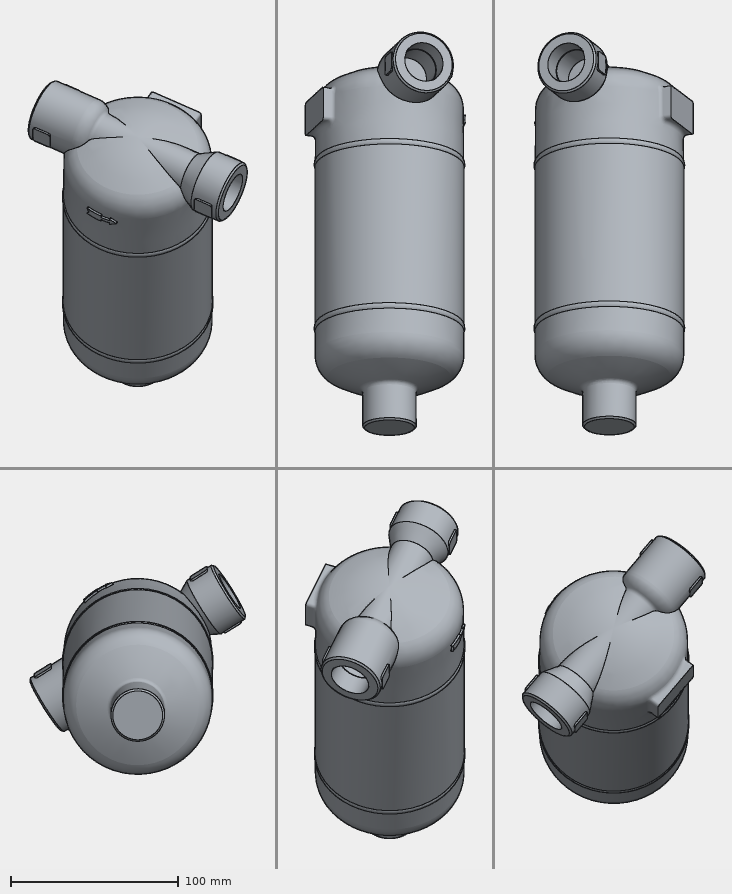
import cadquery as cq
import math

TUBE_RADIUS = 44.7
LOWER_CAP_RADIUS = 89.0 / 2
UPPER_CAP_RADIUS = 44.2
UPPER_CAP_FOOT_RADIUS = 44.5
DOME_RADIUS = 73.7
SHOULDER_RADIUS = 15.5
TOP_APEX = 223.5
BOTTOM_APEX = 22.2
UPPER_WELD_TOP = 167.5
LOWER_WELD_TOP = 64.1
WELD_HEIGHT = 3.5
WELD_BULGE = 0.5

NECK_RADIUS = 16.0
NECK_FILLET = 2.5
END_CHAMFER = 1.1

PORT_AXIS_Z = 210.0
PORT_RADIUS = 38.0 / 2
PORT_END = 130.0 / 2
CORE_RADIUS = TOP_APEX - PORT_AXIS_Z
INLET_SHOULDER_X = -34.8
INLET_STEP_X = -27.3
INLET_STEP_RADIUS = 14.9
INLET_CORE_X = -24.5
OUTLET_CONE_START = 36.6
OUTLET_CONE_END = 47.0

MOUTH_DIAMETER = 24.0
MOUTH_DEPTH = 12.5
HOLE_DIAMETER = 23.4
HOLE_DEPTH = 30.2

PAD_SIZE = 12.0
PAD_CORNER = 1.8
PAD_X = 55.2
PAD_OUTER_Y = 19.2

PLATE_WIDTH = 34.4
PLATE_BOTTOM = 183.7
PLATE_TOP = 204.5
PLATE_BACK_Y = 47.5
PLATE_CORNER = 2.0
PLATE_INNER_Y = 32.0
PLATE_FILLET = 2.7

ARROW_OUTER_RADIUS = 45.5
ARROW_Z = 195.5
ARROW_HALF_LENGTH = 10.0
ARROW_HALF_HEIGHT = 2.5
ARROW_TAIL_NOTCH = 1.4
ARROW_TAIL_END = 0.0
ARROW_HEAD_START = 5.7
ARROW_SHAFT_HALF_HEIGHT = 1.1


def cap_profile_points(cap_radius):
    """Radius and depth below the apex: crown end, shoulder middle, shoulder end."""
    center_r = cap_radius - SHOULDER_RADIUS
    tilt = math.asin(center_r / (DOME_RADIUS - SHOULDER_RADIUS))
    center_depth = DOME_RADIUS - (DOME_RADIUS - SHOULDER_RADIUS) * math.cos(tilt)
    middle = (math.pi / 2 + tilt) / 2
    crown_end = (DOME_RADIUS * math.sin(tilt), DOME_RADIUS * (1 - math.cos(tilt)))
    shoulder_middle = (
        center_r + SHOULDER_RADIUS * math.sin(middle),
        center_depth - SHOULDER_RADIUS * math.cos(middle),
    )
    return crown_end, shoulder_middle, (cap_radius, center_depth)


def crown_depth(radius):
    """Depth of the spherical crown below its apex at the given radius."""
    return DOME_RADIUS - math.sqrt(DOME_RADIUS**2 - radius**2)


def make_vessel():
    upper_cap = [(r, TOP_APEX - depth) for r, depth in cap_profile_points(UPPER_CAP_RADIUS)]
    lower_cap = [(r, BOTTOM_APEX + depth) for r, depth in cap_profile_points(LOWER_CAP_RADIUS)]
    upper_crown_end, upper_shoulder_middle, upper_shoulder_end = upper_cap
    lower_crown_end, lower_shoulder_middle, lower_shoulder_end = lower_cap
    upper_crown_r = upper_crown_end[0] / 2
    upper_crown_middle = (upper_crown_r, TOP_APEX - crown_depth(upper_crown_r))
    lower_crown_r = (NECK_RADIUS + lower_crown_end[0]) / 2
    lower_crown_middle = (lower_crown_r, BOTTOM_APEX + crown_depth(lower_crown_r))
    neck_top = BOTTOM_APEX + crown_depth(NECK_RADIUS)

    bulge_radius = TUBE_RADIUS + WELD_BULGE
    upper_weld_bottom = UPPER_WELD_TOP - WELD_HEIGHT
    lower_weld_bottom = LOWER_WELD_TOP - WELD_HEIGHT
    profile = (
        cq.Workplane("XZ")
        .lineTo(NECK_RADIUS - END_CHAMFER, 0)
        .lineTo(NECK_RADIUS, END_CHAMFER)
        .lineTo(NECK_RADIUS, neck_top)
        .threePointArc(lower_crown_middle, lower_crown_end)
        .threePointArc(lower_shoulder_middle, lower_shoulder_end)
        .lineTo(LOWER_CAP_RADIUS, lower_weld_bottom)
        .threePointArc(
            (bulge_radius, LOWER_WELD_TOP - WELD_HEIGHT / 2), (TUBE_RADIUS, LOWER_WELD_TOP)
        )
        .lineTo(TUBE_RADIUS, upper_weld_bottom)
        .threePointArc(
            (bulge_radius, UPPER_WELD_TOP - WELD_HEIGHT / 2),
            (UPPER_CAP_FOOT_RADIUS, UPPER_WELD_TOP),
        )
        .lineTo(*upper_shoulder_end)
        .threePointArc(upper_shoulder_middle, upper_crown_end)
        .threePointArc(upper_crown_middle, (0, TOP_APEX))
        .close()
    )
    vessel = profile.revolve(360, (0, 0, 0), (0, 1, 0))
    neck_edge = cq.selectors.BoxSelector(
        (-NECK_RADIUS * 2, -NECK_RADIUS * 2, neck_top - NECK_FILLET),
        (NECK_RADIUS * 2, NECK_RADIUS * 2, neck_top + NECK_FILLET),
        boundingbox=True,
    )
    return vessel.edges(neck_edge).fillet(NECK_FILLET)


def make_ports():
    """Both ports and the core joining them, turned about the port axis."""
    return (
        cq.Workplane("XZ", origin=(0, 0, PORT_AXIS_Z))
        .moveTo(-PORT_END, 0)
        .lineTo(-PORT_END, PORT_RADIUS - END_CHAMFER)
        .lineTo(-PORT_END + END_CHAMFER, PORT_RADIUS)
        .lineTo(INLET_SHOULDER_X, PORT_RADIUS)
        .tangentArcPoint((INLET_STEP_X, INLET_STEP_RADIUS), relative=False)
        .tangentArcPoint((INLET_CORE_X, CORE_RADIUS), relative=False)
        .lineTo(OUTLET_CONE_START, CORE_RADIUS)
        .lineTo(OUTLET_CONE_END, PORT_RADIUS)
        .lineTo(PORT_END - END_CHAMFER, PORT_RADIUS)
        .lineTo(PORT_END, PORT_RADIUS - END_CHAMFER)
        .lineTo(PORT_END, 0)
        .close()
        .revolve(360, (0, 0, 0), (1, 0, 0))
    )


def make_pads():
    """Pads that run through each port so that they show on both sides."""
    return (
        cq.Workplane("XZ", origin=(0, 0, PORT_AXIS_Z))
        .pushPoints([(-PAD_X, 0), (PAD_X, 0)])
        .rect(PAD_SIZE, PAD_SIZE)
        .extrude(PAD_OUTER_Y, both=True)
        .edges("|Y")
        .fillet(PAD_CORNER)
    )


def make_bores():
    """Stepped blind bores entering both port ends."""
    bores = cq.Workplane("YZ")
    for side in (-1, 1):
        mouth = cq.Workplane("YZ", origin=(side * PORT_END, 0, PORT_AXIS_Z))
        bores = bores.add(mouth.circle(MOUTH_DIAMETER / 2).extrude(-side * MOUTH_DEPTH))
        bores = bores.add(mouth.circle(HOLE_DIAMETER / 2).extrude(-side * HOLE_DEPTH))
    return bores.combine()


def add_nameplate(body):
    plate = (
        cq.Workplane("XZ", origin=(0, PLATE_BACK_Y, (PLATE_TOP + PLATE_BOTTOM) / 2))
        .rect(PLATE_WIDTH, PLATE_TOP - PLATE_BOTTOM)
        .extrude(PLATE_BACK_Y - PLATE_INNER_Y)
        .edges("|Y")
        .fillet(PLATE_CORNER)
    )
    joined = body.union(plate)
    margin = 0.2
    foot = cq.selectors.BoxSelector(
        (-PLATE_WIDTH / 2 - margin, PLATE_INNER_Y, PLATE_BOTTOM - margin),
        (PLATE_WIDTH / 2 + margin, PLATE_BACK_Y - margin, PLATE_TOP + margin),
        boundingbox=True,
    )
    foot_edges = joined.edges(foot).edges("not |Y")
    return foot_edges.fillet(PLATE_FILLET)


def make_arrow():
    half_outline = [
        (-ARROW_HALF_LENGTH + ARROW_TAIL_NOTCH, 0),
        (-ARROW_HALF_LENGTH, ARROW_HALF_HEIGHT),
        (ARROW_TAIL_END, ARROW_HALF_HEIGHT),
        (ARROW_TAIL_END, ARROW_SHAFT_HALF_HEIGHT),
        (ARROW_HEAD_START, ARROW_SHAFT_HALF_HEIGHT),
        (ARROW_HEAD_START, ARROW_HALF_HEIGHT),
        (ARROW_HALF_LENGTH, 0),
    ]
    mirrored = [(x, -z) for x, z in reversed(half_outline[1:-1])]
    outline = half_outline + mirrored
    height = 4 * ARROW_HALF_HEIGHT
    envelope = cq.Workplane("XY", origin=(0, 0, ARROW_Z)).cylinder(height, ARROW_OUTER_RADIUS)
    arrow = cq.Workplane("XZ", origin=(0, 0, ARROW_Z)).polyline(outline).close()
    return arrow.extrude(ARROW_OUTER_RADIUS).intersect(envelope)


body = add_nameplate(make_vessel())
body = body.union(make_ports()).union(make_pads()).union(make_arrow())
result = body.cut(make_bores())